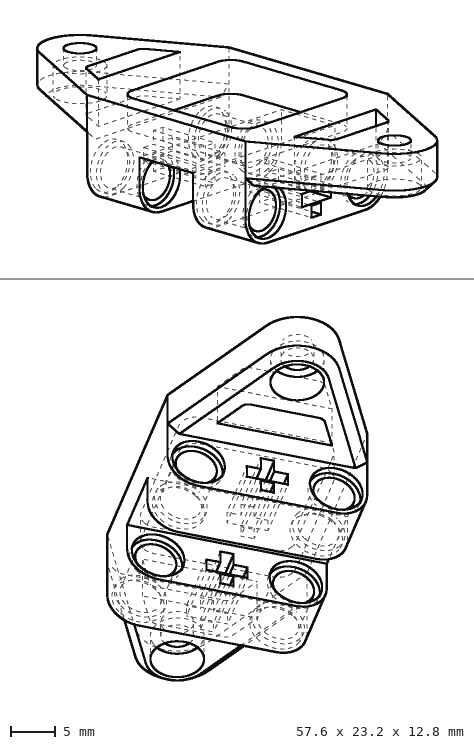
import cadquery as cq
import math

overall_length = 57.6
body_width = 23.2
overall_height = 12.8

plate_thickness = 5.55
plate_chamfer = 1.2
tip_radius = 4.8
tip_hole_diameter = 3.7
tip_counterbore_diameter = 6.0
tip_counterbore_depth = 3.5

body_length = 24.2
leg_gap = 8.2

bore_spacing = 16.0
bore_diameter = 4.8
counterbore_diameter = 6.1
counterbore_depth = 0.9
cross_span = 4.8
cross_arm_width = 1.55
cross_web_thickness = 0.2

pocket_length = 19.0
pocket_width = 18.0
pocket_radius = 2.0
pocket_depth = 4.0

window_inner_x = 15.0
window_outer_x = 19.0
window_rim = 3.05
window_corner_radius = 1.0

tip_x = overall_length / 2 - tip_radius
shoulder_x = body_length / 2
shoulder_y = body_width / 2
plate_bottom = overall_height - plate_thickness
leg_radius = (body_width - bore_spacing) / 2
bore_z = leg_radius
leg_length = (body_length - leg_gap) / 2

shoulder_to_tip = math.hypot(tip_x - shoulder_x, shoulder_y)
taper_angle = math.atan2(shoulder_y, tip_x - shoulder_x) - math.asin(tip_radius / shoulder_to_tip)
tangent_x = tip_x + tip_radius * math.sin(taper_angle)
tangent_y = tip_radius * math.cos(taper_angle)


def make_plate():
    """Hexagonal plate with rounded tips and a chamfered underside."""
    half_length = overall_length / 2
    return (
        cq.Workplane("XY", origin=(0, 0, plate_bottom))
        .moveTo(-shoulder_x, shoulder_y)
        .lineTo(shoulder_x, shoulder_y)
        .lineTo(tangent_x, tangent_y)
        .threePointArc((half_length, 0), (tangent_x, -tangent_y))
        .lineTo(shoulder_x, -shoulder_y)
        .lineTo(-shoulder_x, -shoulder_y)
        .lineTo(-tangent_x, -tangent_y)
        .threePointArc((-half_length, 0), (-tangent_x, tangent_y))
        .close()
        .extrude(plate_thickness)
        .faces("<Z")
        .chamfer(plate_chamfer)
    )


def make_body():
    """Central block with rounded lower edges, split into two legs below the plate."""
    block = (
        cq.Workplane("XY")
        .box(body_length, body_width, overall_height, centered=(True, True, False))
        .edges("|X and <Z")
        .fillet(leg_radius)
    )
    gap = cq.Workplane("XY").box(leg_gap, body_width, plate_bottom, centered=(True, True, False))
    return block.cut(gap)


def x_cylinder(diameter, length, x, y):
    """Cylinder along X, centred at x and y on the height of the bores."""
    return (
        cq.Workplane("YZ", origin=(x - length / 2, y, bore_z))
        .circle(diameter / 2)
        .extrude(length)
    )


def make_round_bores():
    """Two through bores with counterbores at both faces of each leg."""
    bores = cq.Workplane("XY")
    for y in (-bore_spacing / 2, bore_spacing / 2):
        bores = bores.add(x_cylinder(bore_diameter, body_length, 0, y))
        for side in (-1, 1):
            leg_x = side * (leg_gap + leg_length) / 2
            for end in (-1, 1):
                x = leg_x + end * (leg_length - counterbore_depth) / 2
                bores = bores.add(x_cylinder(counterbore_diameter, counterbore_depth, x, y))
    return bores.combine()


def make_cross_bore():
    """Cross-shaped axle hole; a thin web closes off its lower arm from the flat arms."""
    center = cq.Workplane("XY", origin=(0, 0, bore_z))
    flat_arms = center.box(body_length, cross_span, cross_arm_width)
    upright_arms = center.box(body_length, cross_arm_width, cross_span)
    web = (
        center.workplane(offset=-(cross_arm_width + cross_web_thickness) / 2)
        .box(body_length, cross_arm_width, cross_web_thickness)
    )
    return flat_arms.union(upright_arms).cut(web)


def make_pocket():
    """Round-cornered pocket sunk from the top face."""
    return (
        cq.Workplane("XY", origin=(0, 0, overall_height - pocket_depth))
        .rect(pocket_length, pocket_width)
        .extrude(pocket_depth)
        .edges("|Z")
        .fillet(pocket_radius)
    )


def window_half_width(x):
    """Half width in Y of a window at x, keeping an even rim to the wing edge."""
    edge_y = shoulder_y - (x - shoulder_x) * math.tan(taper_angle)
    return edge_y - window_rim / math.cos(taper_angle)


def make_wing_openings():
    """Tip hole, counterbored from below, and trapezoid window through the +X wing."""
    inner_y = window_half_width(window_inner_x)
    outer_y = window_half_width(window_outer_x)
    wing = cq.Workplane("XY", origin=(0, 0, plate_bottom))
    window = (
        wing.polyline([
            (window_inner_x, -inner_y),
            (window_outer_x, -outer_y),
            (window_outer_x, outer_y),
            (window_inner_x, inner_y),
        ])
        .close()
        .extrude(plate_thickness)
        .edges("|Z and >X")
        .fillet(window_corner_radius)
    )
    tip = wing.center(tip_x, 0)
    tip_hole = tip.circle(tip_hole_diameter / 2).extrude(plate_thickness)
    tip_counterbore = tip.circle(tip_counterbore_diameter / 2).extrude(tip_counterbore_depth)
    return window.union(tip_hole.union(tip_counterbore))


wing_openings = make_wing_openings()
result = (
    make_plate()
    .union(make_body())
    .cut(make_round_bores())
    .cut(make_cross_bore())
    .cut(make_pocket())
    .cut(wing_openings)
    .cut(wing_openings.mirror("YZ"))
)